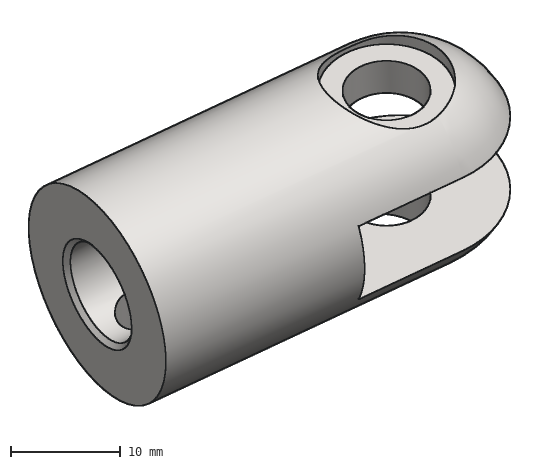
import cadquery as cq
import math

body_diameter = 22.0
body_radius = body_diameter / 2
length = 43.55
slot_height = 9.0
slot_bottom_y = 22.0
ball_center_y = length - math.sqrt(body_radius**2 - (slot_height / 2) ** 2)

pin_y = 32.0
pin_diameter = 8.0
counterbore_diameter = 12.5
counterbore_floor_z = 8.5

bore_diameter = 10
bore_depth = 15.0
bore_mouth_diameter = 11.0
bore_chamfer = (bore_mouth_diameter - bore_diameter) / 2

side_hole_diameter = 5.0
side_hole_y = 5.0


def vertical_cylinder(diameter, y, bottom_z, top_z):
    return (
        cq.Workplane("XY", origin=(0, y, bottom_z))
        .circle(diameter / 2)
        .extrude(top_z - bottom_z)
    )


def body():
    barrel = cq.Workplane("XZ").circle(body_radius).extrude(-ball_center_y)
    ball = cq.Workplane("XY").sphere(body_radius).translate((0, ball_center_y, 0))
    return barrel.union(ball)


def clevis_slot():
    slot_depth = 2 * (length - slot_bottom_y)
    return cq.Workplane("XY", origin=(0, slot_bottom_y, 0)).box(
        body_diameter, slot_depth, slot_height, centered=(True, False, True)
    )


def chamfered_bore():
    bore_radius = bore_diameter / 2
    profile = [
        (0, 0),
        (bore_mouth_diameter / 2, 0),
        (bore_radius, bore_chamfer),
        (bore_radius, bore_depth),
        (0, bore_depth),
    ]
    return cq.Workplane("XY").polyline(profile).close().revolve(360, (0, 0, 0), (0, 1, 0))


pin_hole = vertical_cylinder(pin_diameter, pin_y, -body_radius, body_radius)
counterbore = vertical_cylinder(counterbore_diameter, pin_y, counterbore_floor_z, body_radius)
side_hole = vertical_cylinder(side_hole_diameter, side_hole_y, -body_radius, 0)

result = (
    body()
    .cut(clevis_slot())
    .cut(pin_hole)
    .cut(counterbore)
    .cut(chamfered_bore())
    .cut(side_hole)
)